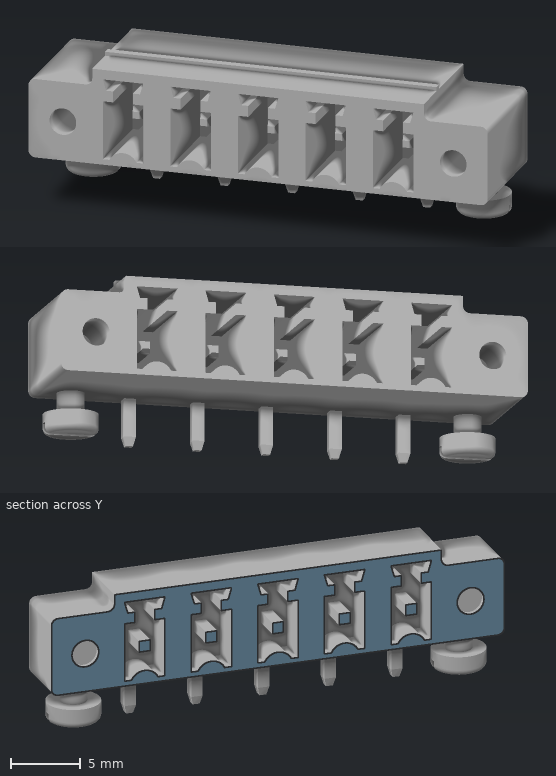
import cadquery as cq


length = 34.52
depth = 9.2
flange_height = 5.95
block_height = 7.18
block_width = 24.92
corner_radius = 0.52
front_y = -depth / 2

ridge_height = 0.3
ridge_top_width = 0.62
ridge_base_width = 0.55
ridge_y = front_y + 3.25

contact_count = 5
pitch = 5.07
contact_positions = [(i - (contact_count - 1) / 2) * pitch for i in range(contact_count)]

cavity_width = 3.05
cavity_depth = 6.9
cavity_floor = 0.4
shoulder_height = 4.8
neck_width = 1.5
neck_top = 5.63
dovetail_base_width = 2.55
dovetail_top = 6.45
hump_width = 2.05
hump_height = 0.62

pin_width = 0.85
pin_tip_width = 0.52
pin_tip_length = 0.65
mating_leg_height = 2.9
pin_tip_setback = 3.0
solder_pin_length = 3.45
solder_pin_y = front_y + 8.0

flange_x = 14.67
hole_height = 2.95
hole_diameter = 2.0
hole_depth = 5.0
screw_y = front_y + 7.1
shank_diameter = 2.0
head_diameter = 4.0
head_gap = 1.55
head_height = 1.5
head_fillet = 0.45
slot_width = 0.55
slot_depth = 0.75


def make_housing():
    """Long flanged bar with a raised centre block."""
    flanges = (
        cq.Workplane("XY")
        .box(length, depth, flange_height, centered=(True, True, False))
        .edges("|Y")
        .fillet(corner_radius)
    )
    block = cq.Workplane("XY").box(block_width, depth, block_height, centered=(True, True, False))
    inner_corners = cq.selectors.BoxSelector(
        (-block_width, -depth, flange_height - corner_radius),
        (block_width, depth, flange_height + corner_radius),
    )
    return flanges.union(block).edges("|Y").edges(inner_corners).fillet(corner_radius)


def make_ridge():
    """Narrow bar that widens upwards, along the full length of the block."""
    half_base = ridge_base_width / 2
    half_top = ridge_top_width / 2
    top = block_height + ridge_height
    return (
        cq.Workplane("YZ", origin=(-block_width / 2, ridge_y, 0))
        .polyline([(-half_base, block_height), (half_base, block_height), (half_top, top), (-half_top, top)])
        .close()
        .extrude(block_width)
    )


def make_cavity(x):
    """Plug pocket with a humped floor and a necked dovetail slot at the top."""
    half_cavity = cavity_width / 2
    half_neck = neck_width / 2
    half_dovetail = dovetail_base_width / 2
    half_hump = hump_width / 2
    return (
        cq.Workplane("XZ", origin=(x, front_y, 0))
        .moveTo(-half_cavity, cavity_floor)
        .lineTo(-half_hump, cavity_floor)
        .threePointArc((0, cavity_floor + hump_height), (half_hump, cavity_floor))
        .lineTo(half_cavity, cavity_floor)
        .lineTo(half_cavity, shoulder_height)
        .lineTo(half_neck, shoulder_height)
        .lineTo(half_neck, neck_top)
        .lineTo(half_dovetail, neck_top)
        .lineTo(half_cavity, dovetail_top)
        .lineTo(-half_cavity, dovetail_top)
        .lineTo(-half_dovetail, neck_top)
        .lineTo(-half_neck, neck_top)
        .lineTo(-half_neck, shoulder_height)
        .lineTo(-half_cavity, shoulder_height)
        .close()
        .extrude(-cavity_depth)
    )


def make_pointed_bar(bar_length):
    """Square bar from Z = 0 upwards, with a tapered tip at the far end."""
    shank_length = bar_length - pin_tip_length
    shank = cq.Workplane("XY").rect(pin_width, pin_width).extrude(shank_length)
    tip = (
        cq.Workplane("XY", origin=(0, 0, shank_length))
        .rect(pin_width, pin_width)
        .workplane(offset=pin_tip_length)
        .rect(pin_tip_width, pin_tip_width)
        .loft(ruled=True)
    )
    return shank.union(tip)


def make_pin(x):
    """Right-angle pin: a mating leg towards -Y and a solder leg downwards."""
    bend_overlap = pin_width / 2
    mating_leg = make_pointed_bar(solder_pin_y + bend_overlap - front_y - pin_tip_setback)
    mating_leg = mating_leg.rotate((0, 0, 0), (1, 0, 0), 90)
    mating_leg = mating_leg.translate((x, solder_pin_y + bend_overlap, mating_leg_height))
    solder_leg = make_pointed_bar(mating_leg_height + solder_pin_length)
    solder_leg = solder_leg.rotate((0, 0, 0), (1, 0, 0), 180)
    solder_leg = solder_leg.translate((x, solder_pin_y, mating_leg_height))
    return mating_leg.union(solder_leg)


def make_flange_hole(x):
    """Blind hole in the mating face of a flange."""
    return (
        cq.Workplane("XZ", origin=(x, front_y, hole_height))
        .circle(hole_diameter / 2)
        .extrude(-hole_depth)
    )


def make_screw(x):
    """Slotted screw hanging below a flange; its shank reaches up into the housing."""
    shank = (
        cq.Workplane("XY", origin=(x, screw_y, hole_height))
        .circle(shank_diameter / 2)
        .extrude(-hole_height - head_gap)
    )
    head = (
        cq.Workplane("XY", origin=(x, screw_y, -head_gap))
        .circle(head_diameter / 2)
        .extrude(-head_height)
        .faces("<Z")
        .edges()
        .fillet(head_fillet)
    )
    slot = (
        cq.Workplane("XY", origin=(x, screw_y, -head_gap - head_height))
        .rect(head_diameter, slot_width)
        .extrude(slot_depth)
    )
    return shank.union(head.cut(slot))


result = make_housing().union(make_ridge())
for contact_x in contact_positions:
    result = result.cut(make_cavity(contact_x))
    result = result.union(make_pin(contact_x))
for side_x in (-flange_x, flange_x):
    result = result.cut(make_flange_hole(side_x))
    result = result.union(make_screw(side_x))